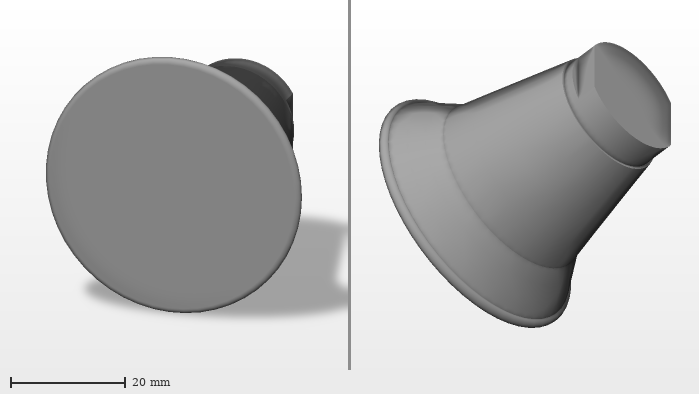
import cadquery as cq

total_length = 40.0
rim_thickness = 2.0
flare_length = 8.0
neck_length = 6.0
flat_length = 4.0

rim_diameter = 47.0
flare_start_diameter = rim_diameter - rim_thickness
waist_diameter = 34.0
cone_end_diameter = 23.0
neck_diameter = 22.0
across_flats = 19.05

face_y = -total_length / 2
rim_y = face_y + rim_thickness
waist_y = rim_y + flare_length
end_y = total_length / 2
neck_y = end_y - neck_length


def make_body():
    """Revolve the bell profile, with its half-round rim, about Y."""
    profile = (
        cq.Workplane("XY")
        .moveTo(0, face_y)
        .lineTo(flare_start_diameter / 2, face_y)
        .threePointArc(
            (rim_diameter / 2, face_y + rim_thickness / 2),
            (flare_start_diameter / 2, rim_y),
        )
        .lineTo(waist_diameter / 2, waist_y)
        .lineTo(cone_end_diameter / 2, neck_y)
        .lineTo(neck_diameter / 2, neck_y)
        .lineTo(neck_diameter / 2, end_y)
        .lineTo(0, end_y)
        .close()
    )
    return profile.revolve(360, (0, 0, 0), (0, 1, 0))


def make_flat_cutter(side):
    """Block that leaves a wrench flat on one X side of the neck end."""
    block_width = neck_diameter / 2
    return cq.Workplane("XY").box(block_width, flat_length, neck_diameter).translate(
        (side * (across_flats + block_width) / 2, end_y - flat_length / 2, 0)
    )


result = make_body()
for side in (-1, 1):
    result = result.cut(make_flat_cutter(side))